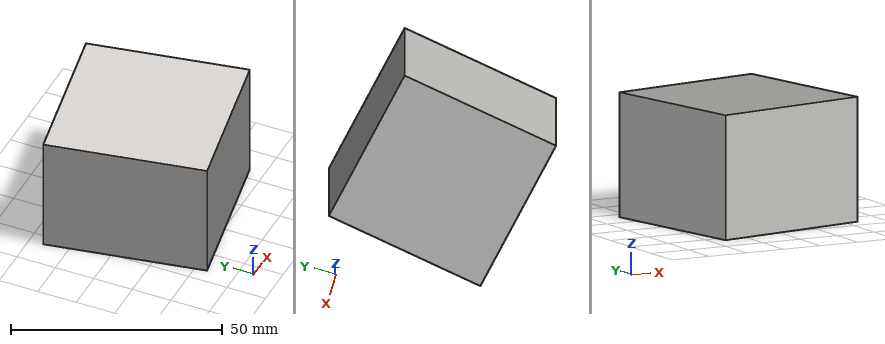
import cadquery as cq
import math

outer_width = 46.35
block_height = 30.0
turn_angle = 10.0

turn_radians = math.radians(turn_angle)
block_side = outer_width / (math.cos(turn_radians) + math.sin(turn_radians))


def make_block():
    """Square block turned about its vertical centre line."""
    block = cq.Workplane("XY").box(block_side, block_side, block_height)
    return block.rotate((0, 0, 0), (0, 0, 1), turn_angle)


block = make_block()

result = cq.Compound.makeCompound([block.val()])